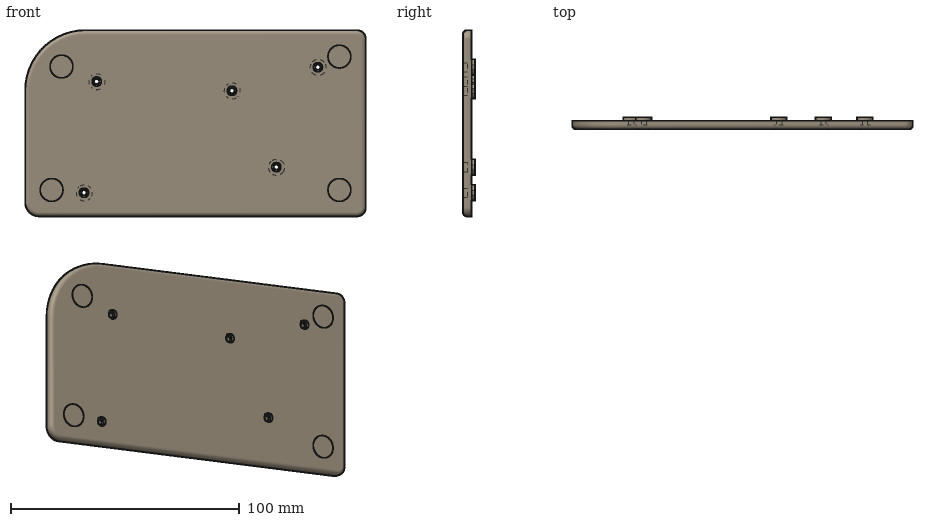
import cadquery as cq

LENGTH = 149.0
HEIGHT = 81.5
THICKNESS = 3.9
LARGE_CORNER_RADIUS = 26.5
LOWER_LEFT_RADIUS = 6.3
RIGHT_CORNER_RADIUS = 4.0
EDGE_RADIUS = THICKNESS / 2

BOSS_DIAMETER = 7.0
BOSS_HEIGHT = 1.5
SCREW_HOLE_DIAMETER = 2.2
COUNTERBORE_DIAMETER = 4.0
COUNTERBORE_DEPTH = THICKNESS / 2
BOSS_CENTERS = [(31.3, 59.0), (25.8, 10.5), (90.5, 55.0), (128.0, 65.3), (109.8, 21.6)]

FOOT_DIAMETER = 10.0
FOOT_DEPTH = 0.1
FOOT_MARGIN = 11.6
FOOT_RIGHT = LENGTH - FOOT_MARGIN
FOOT_CENTERS = [
    (FOOT_MARGIN, FOOT_MARGIN),
    (FOOT_RIGHT, FOOT_MARGIN),
    (FOOT_RIGHT, HEIGHT - FOOT_MARGIN),
    (16.0, 65.5),
]


def cylinders(centers, diameter, start, depth):
    """Cylinders along +Y at (X, Z) centers, starting at the given Y."""
    plane = cq.Workplane("XZ", origin=(0, start, 0))
    return plane.pushPoints(centers).circle(diameter / 2).extrude(-depth)


def make_plate():
    """Plate with individually rounded corners and a rounded outer rim."""
    plate = cq.Workplane("XY").box(LENGTH, THICKNESS, HEIGHT, centered=False)
    plate = plate.edges("|Y").edges("<X").edges(">Z").fillet(LARGE_CORNER_RADIUS)
    plate = plate.edges("|Y").edges("<Z").edges("<X").fillet(LOWER_LEFT_RADIUS)
    plate = plate.edges("|Y").edges(">X").fillet(RIGHT_CORNER_RADIUS)
    return plate.faces("<Y").edges().fillet(EDGE_RADIUS)


result = make_plate()
result = result.union(cylinders(BOSS_CENTERS, BOSS_DIAMETER, THICKNESS, BOSS_HEIGHT))
result = result.cut(cylinders(BOSS_CENTERS, SCREW_HOLE_DIAMETER, 0, THICKNESS + BOSS_HEIGHT))
result = result.cut(cylinders(BOSS_CENTERS, COUNTERBORE_DIAMETER, 0, COUNTERBORE_DEPTH))
result = result.cut(cylinders(FOOT_CENTERS, FOOT_DIAMETER, 0, FOOT_DEPTH))